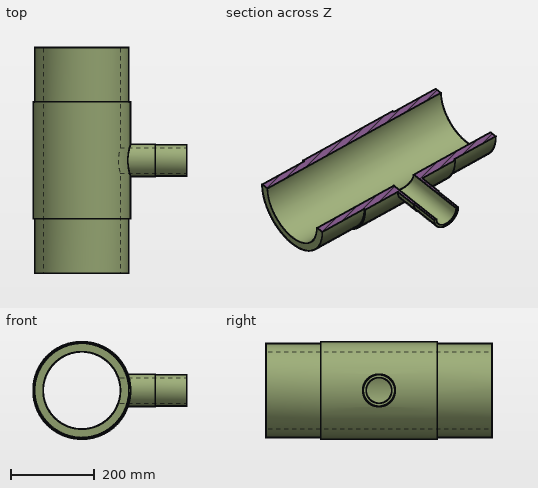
import cadquery as cq

pipe_length = 540.0
pipe_diameter = 225.0
bore_diameter = 184.0
sleeve_length = 279.0
sleeve_diameter = 233.5

branch_reach = 251.0
branch_tip_length = 75.5
branch_root_diameter = 78.0
branch_tip_diameter = 75.0
branch_bore_diameter = 61.0


def cylinder_along_y(diameter, length):
    """Cylinder on the Y axis, centred on the origin."""
    return cq.Workplane("XZ").circle(diameter / 2).extrude(length / 2, both=True)


def cylinder_along_x(diameter, length):
    """Cylinder on the X axis, starting at the pipe axis."""
    return cq.Workplane("YZ").circle(diameter / 2).extrude(length)


run = cylinder_along_y(pipe_diameter, pipe_length)
run = run.union(cylinder_along_y(sleeve_diameter, sleeve_length))

branch = cylinder_along_x(branch_tip_diameter, branch_reach)
branch_root_length = branch_reach - branch_tip_length
branch = branch.union(cylinder_along_x(branch_root_diameter, branch_root_length))

result = (
    run.union(branch)
    .cut(cylinder_along_y(bore_diameter, pipe_length))
    .cut(cylinder_along_x(branch_bore_diameter, branch_reach))
)